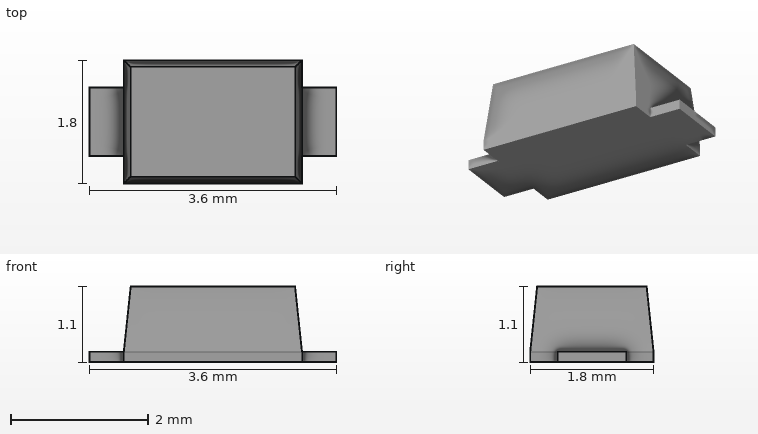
import cadquery as cq

overall_length = 3.6
housing_width = 1.8
housing_height = 1.1

housing_length = 2.6
base_height = 0.15
taper_inset = 0.1

lead_width = 1.0
lead_thickness = base_height
lead_length = (overall_length - housing_length) / 2


def make_housing():
    """Moulded housing with a straight base and four sloping sides above it."""
    base = cq.Workplane("XY").box(
        housing_length, housing_width, base_height, centered=(True, True, False)
    )
    top_length = housing_length - 2 * taper_inset
    top_width = housing_width - 2 * taper_inset
    upper = (
        cq.Workplane("XY", origin=(0, 0, base_height))
        .rect(housing_length, housing_width)
        .workplane(offset=housing_height - base_height)
        .rect(top_length, top_width)
        .loft(ruled=True)
    )
    return base.union(upper).solids()


def make_lead(side):
    """Flat lead butting against one end of the housing; side is -1 or 1 along X."""
    center_x = side * (housing_length + lead_length) / 2
    return cq.Workplane("XY", origin=(center_x, 0, 0)).box(
        lead_length, lead_width, lead_thickness, centered=(True, True, False)
    )


housing = make_housing()
leads = [make_lead(side) for side in (-1, 1)]

result = cq.Compound.makeCompound([housing.val(), *[lead.val() for lead in leads]])